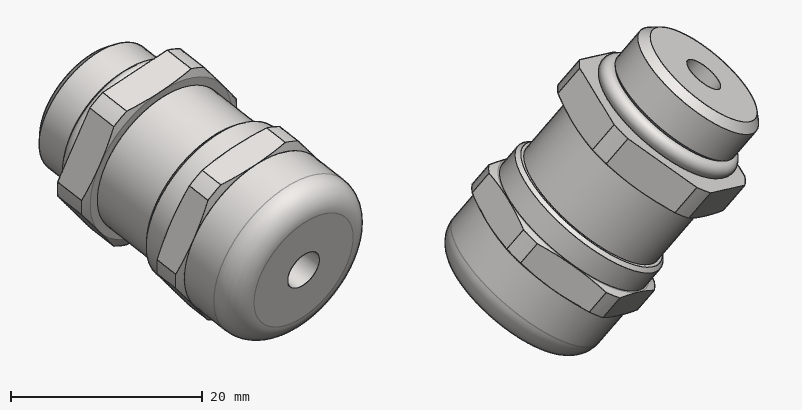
import cadquery as cq
import math

total_length = 33.0
bore_diameter = 4.5

spigot_diameter = 16.0
spigot_end_diameter = 14.15
neck_diameter = 14.15
spigot_end_chamfer = (spigot_diameter - spigot_end_diameter) / 2
neck_chamfer = (spigot_diameter - neck_diameter) / 2
neck_start = 4.8

ring_diameter = 18.0
ring_thickness = 1.98

across_flats = 20.0
across_corners = 21.98
hex_chamfer_length = 0.3
body_hex_start = 7.0
body_hex_end = 11.0
nut_hex_start = 22.05
nut_hex_end = 25.5

barrel_diameter = 18.0
collar_diameter = 19.6
collar_start = 18.98
collar_chamfer_length = 0.43
collar_chamfer_depth = 0.43

cap_diameter = 19.95
cap_rim_radius = 2.97


def turned_body():
    """Revolve the stepped outer profile about the X axis."""
    spigot_radius = spigot_diameter / 2
    neck_radius = neck_diameter / 2
    barrel_radius = barrel_diameter / 2
    collar_radius = collar_diameter / 2
    cap_radius = cap_diameter / 2
    rim_start = total_length - cap_rim_radius
    rim_diagonal = cap_rim_radius * math.sqrt(0.5)
    rim_middle = (rim_start + rim_diagonal, cap_radius - cap_rim_radius + rim_diagonal)

    return (
        cq.Workplane("XY")
        .moveTo(0, 0)
        .lineTo(0, spigot_end_diameter / 2)
        .lineTo(spigot_end_chamfer, spigot_radius)
        .lineTo(neck_start, spigot_radius)
        .lineTo(neck_start + neck_chamfer, neck_radius)
        .lineTo(body_hex_start, neck_radius)
        .lineTo(body_hex_start, barrel_radius)
        .lineTo(collar_start, barrel_radius)
        .lineTo(collar_start, collar_radius - collar_chamfer_depth)
        .lineTo(collar_start + collar_chamfer_length, collar_radius)
        .lineTo(nut_hex_end, collar_radius)
        .lineTo(nut_hex_end, cap_radius)
        .lineTo(rim_start, cap_radius)
        .threePointArc(rim_middle, (total_length, cap_radius - cap_rim_radius))
        .lineTo(total_length, 0)
        .close()
        .revolve(360, (0, 0, 0), (1, 0, 0))
    )


def sealing_ring():
    """Round-section ring whose side touches the body hexagon."""
    section_radius = ring_thickness / 2
    section_center = (body_hex_start - section_radius, ring_diameter / 2 - section_radius)
    return (
        cq.Workplane("XY")
        .moveTo(*section_center)
        .circle(section_radius)
        .revolve(360, (0, 0, 0), (1, 0, 0))
    )


def hexagon(start, end, chamfer_start):
    """Hexagon with corners turned round, chamfered at its end and optionally its start."""
    corner_radius = across_corners / 2
    face_radius = across_flats / 2
    sharp_corner_diameter = across_flats / math.cos(math.pi / 6)

    prism = (
        cq.Workplane("YZ", origin=(start, 0, 0))
        .polygon(6, sharp_corner_diameter)
        .extrude(end - start)
    )
    envelope = cq.Workplane("XY").moveTo(start, 0)
    if chamfer_start:
        envelope = envelope.lineTo(start, face_radius).lineTo(start + hex_chamfer_length, corner_radius)
    else:
        envelope = envelope.lineTo(start, corner_radius)
    envelope = (
        envelope.lineTo(end - hex_chamfer_length, corner_radius)
        .lineTo(end, face_radius)
        .lineTo(end, 0)
        .close()
        .revolve(360, (0, 0, 0), (1, 0, 0))
    )
    return prism.intersect(envelope)


def bore():
    """Cable passage through the full length."""
    return cq.Workplane("YZ").circle(bore_diameter / 2).extrude(total_length)


result = (
    turned_body()
    .union(sealing_ring())
    .union(hexagon(body_hex_start, body_hex_end, chamfer_start=False))
    .union(hexagon(nut_hex_start, nut_hex_end, chamfer_start=True))
    .cut(bore())
)